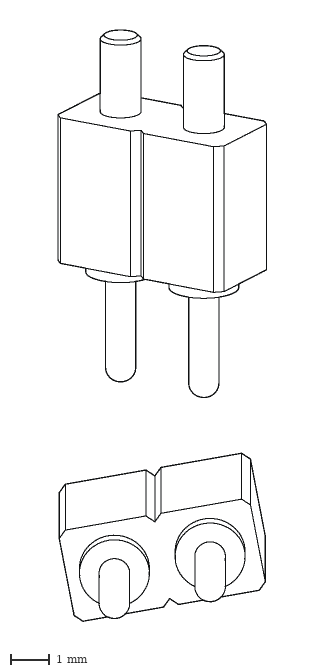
import cadquery as cq


pitch = 2.54
pin_count = 2
housing_height = 4.0
housing_length = pin_count * pitch
housing_width = pitch
corner_chamfer = 0.2

head_diameter = 1.07
head_projection = 2.1
head_chamfer = 0.1
collar_diameter = 1.83
collar_height = 0.4
tail_diameter = 0.8
tail_length = 3.0
tip_flat_radius = 0.02
tip_radius = tail_diameter / 2 - tip_flat_radius

pin_positions = [((i - (pin_count - 1) / 2) * pitch, 0) for i in range(pin_count)]


def make_cell(center):
    """One square housing cell with chamfered upright edges."""
    return (
        cq.Workplane("XY")
        .center(*center)
        .rect(pitch, housing_width)
        .extrude(housing_height)
        .edges("|Z")
        .chamfer(corner_chamfer)
    )


def make_housing():
    """Joined cells, whose meeting chamfers form V-grooves, bored for the pins."""
    body = make_cell(pin_positions[0])
    for center in pin_positions[1:]:
        body = body.union(make_cell(center))
    bores = (
        cq.Workplane("XY")
        .pushPoints(pin_positions)
        .circle(head_diameter / 2)
        .extrude(housing_height)
    )
    return body.cut(bores)


def make_pin(center):
    """Turned pin: chamfered head through the housing, collar below it, round-tipped tail."""
    head = (
        cq.Workplane("XY")
        .circle(head_diameter / 2)
        .extrude(housing_height + head_projection)
        .faces(">Z")
        .chamfer(head_chamfer)
    )
    collar = cq.Workplane("XY").circle(collar_diameter / 2).extrude(-collar_height)
    tail = (
        cq.Workplane("XY")
        .workplane(offset=-collar_height)
        .circle(tail_diameter / 2)
        .extrude(-tail_length)
        .faces("<Z")
        .edges()
        .fillet(tip_radius)
    )
    return head.union(collar).union(tail).translate((*center, 0))


housing = make_housing()
pins = [make_pin(center) for center in pin_positions]

result = cq.Compound.makeCompound([housing.val(), *[pin.val() for pin in pins]])